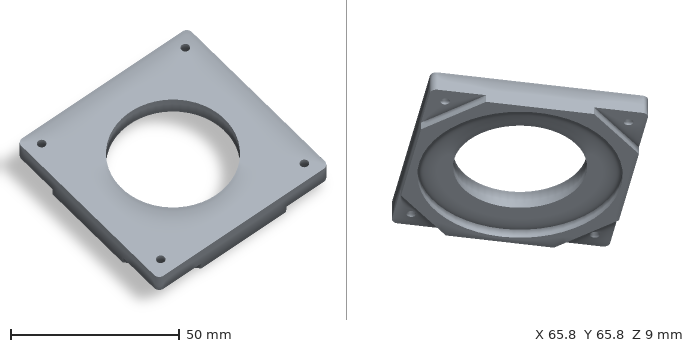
import cadquery as cq

side = 65.8
total_height = 9.0
corner_radius = 2.0

foot_height = 2.5
foot_corner_cut = 16.6

bore_diameter = 39.8
bore_length = 6.0
recess_diameter = 61.0
screw_hole_diameter = 2.8
screw_hole_spacing = 55.4


def make_plate():
    """Upper square layer with rounded vertical corners."""
    plate_height = total_height - foot_height
    return (
        cq.Workplane("XY", origin=(0, 0, foot_height))
        .rect(side, side)
        .extrude(plate_height)
        .edges("|Z")
        .fillet(corner_radius)
    )


def make_foot():
    """Lower layer, flush with the plate's sides and clear of the screw holes."""
    return (
        cq.Workplane("XY")
        .rect(side, side)
        .extrude(foot_height)
        .edges("|Z")
        .chamfer(foot_corner_cut)
    )


def make_bore():
    """Central through hole."""
    return cq.Workplane("XY").circle(bore_diameter / 2).extrude(total_height)


def make_recess():
    """Round recess in the underside that leaves the bore its shorter length."""
    recess_depth = total_height - bore_length
    return cq.Workplane("XY").circle(recess_diameter / 2).extrude(recess_depth)


def make_screw_holes():
    """Four through holes near the corners."""
    return (
        cq.Workplane("XY")
        .rect(screw_hole_spacing, screw_hole_spacing, forConstruction=True)
        .vertices()
        .circle(screw_hole_diameter / 2)
        .extrude(total_height)
    )


body = make_plate().union(make_foot())
result = body.cut(make_bore()).cut(make_recess()).cut(make_screw_holes())